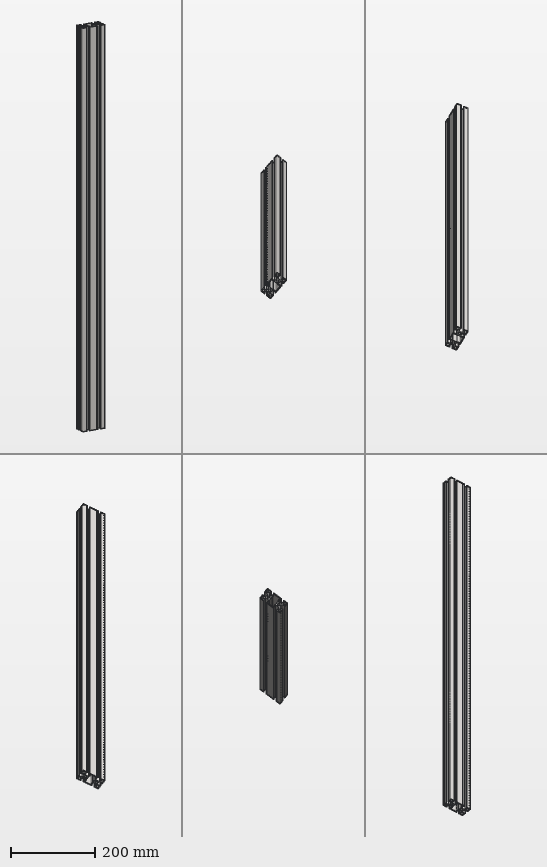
import cadquery as cq

MODULE = 30.0
WIDTH = MODULE
DEPTH = 2 * MODULE
LENGTH = 1000.0
OUTER_RADIUS = 0.4

SLOT_OPENING = 6.5
LIP_THICKNESS = 1.2
SLOT_WIDTH = 9.4
SLOT_SIDE_DEPTH = 8.4
FLOOR_WIDTH = 8.6
FLOOR_EDGE_DEPTH = 8.7
FLOOR_ARC_RISE = 1.15

SIDE_WALL = 2.2
CAVITY_WIDTH = WIDTH - 2 * SIDE_WALL
CAVITY_DEPTH = 15.8
CAVITY_RADIUS = 0.2
RELIEF_WIDTH = 11.0
RELIEF_DEPTH = 1.0

CORE_BORE_DIAMETER = 5.3
CORNER_BORE_DIAMETER = 5.7
CORNER_BORE_INSET = 4.8

MODULE_CENTERS_Y = (-MODULE / 2, MODULE / 2)


def outer_bar():
    """Solid bar with slightly rounded long edges."""
    return cq.Workplane("XY").rect(WIDTH, DEPTH).extrude(LENGTH).edges("|Z").fillet(OUTER_RADIUS)


def slot_cutter(mouth_x, mouth_y, angle):
    """Lipped slot with a concave floor; at angle 0 its mouth faces +Y."""
    half_opening = SLOT_OPENING / 2
    half_width = SLOT_WIDTH / 2
    half_floor = FLOOR_WIDTH / 2
    cutter = (
        cq.Workplane("XY")
        .moveTo(-half_opening, 0)
        .lineTo(-half_opening, -LIP_THICKNESS)
        .lineTo(-half_width, -LIP_THICKNESS)
        .lineTo(-half_width, -SLOT_SIDE_DEPTH)
        .lineTo(-half_floor, -FLOOR_EDGE_DEPTH)
        .threePointArc((0, -FLOOR_EDGE_DEPTH - FLOOR_ARC_RISE), (half_floor, -FLOOR_EDGE_DEPTH))
        .lineTo(half_width, -SLOT_SIDE_DEPTH)
        .lineTo(half_width, -LIP_THICKNESS)
        .lineTo(half_opening, -LIP_THICKNESS)
        .lineTo(half_opening, 0)
        .close()
        .extrude(LENGTH)
    )
    return cutter.rotate((0, 0, 0), (0, 0, 1), angle).translate((mouth_x, mouth_y, 0))


def cut_slots(bar):
    """One slot in each narrow face and one per module in each wide face."""
    bar = bar.cut(slot_cutter(0, DEPTH / 2, 0))
    bar = bar.cut(slot_cutter(0, -DEPTH / 2, 180))
    for center_y in MODULE_CENTERS_Y:
        bar = bar.cut(slot_cutter(WIDTH / 2, center_y, -90))
        bar = bar.cut(slot_cutter(-WIDTH / 2, center_y, 90))
    return bar


def cavity_cutter():
    """Rounded rectangular cavity with a shallow relief in the middle of its two long walls."""
    cavity = cq.Workplane("XY").rect(CAVITY_WIDTH, CAVITY_DEPTH).extrude(LENGTH)
    cavity = cavity.edges("|Z").fillet(CAVITY_RADIUS)
    relief = cq.Workplane("XY").rect(RELIEF_WIDTH, CAVITY_DEPTH + 2 * RELIEF_DEPTH).extrude(LENGTH)
    return cavity.union(relief)


def bore_cutter(centers, diameter):
    """Round bores running the full length."""
    return cq.Workplane("XY").pushPoints(centers).circle(diameter / 2).extrude(LENGTH)


core_centers = [(0, center_y) for center_y in MODULE_CENTERS_Y]
corner_x = WIDTH / 2 - CORNER_BORE_INSET
corner_y = DEPTH / 2 - CORNER_BORE_INSET
corner_centers = [(x, y) for x in (-corner_x, corner_x) for y in (-corner_y, corner_y)]

result = cut_slots(outer_bar())
result = result.cut(cavity_cutter())
result = result.cut(bore_cutter(core_centers, CORE_BORE_DIAMETER))
result = result.cut(bore_cutter(corner_centers, CORNER_BORE_DIAMETER))